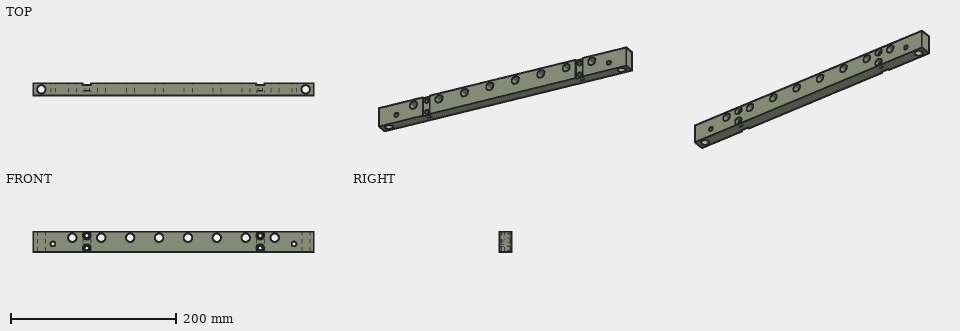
import cadquery as cq

length = 340.0
thickness = 15.0
height = 25.0
top = height / 2
bottom = -height / 2
front = -thickness / 2
back = thickness / 2

row_count = 8
row_pitch = 35.0
row_diameter = 10.0
row_z = bottom + 17.5

pin_diameter = 5.5
pin_x = 146.0
pin_z = bottom + 10.0

screw_x = 105.0
screw_pitch_z = 15.0
screw_diameter = 5.5
counterbore_diameter = 9.5
counterbore_depth = 6.0

groove_width = 10.0
groove_depth = 2.0

end_hole_diameter = 10.0
end_hole_x = 160.0


def cross_hole(x, z, diameter, depth):
    """Cylinder along Y, entering at the front face."""
    axis_start = cq.Vector(x, front, z)
    return cq.Workplane(cq.Solid.makeCylinder(diameter / 2, depth, axis_start, cq.Vector(0, 1, 0)))


def screw_hole(x, z):
    """Through hole with a counterbore at the front face."""
    through = cross_hole(x, z, screw_diameter, thickness)
    return through.union(cross_hole(x, z, counterbore_diameter, counterbore_depth))


def back_groove(x):
    """Full-height rectangular groove in the back face."""
    groove = cq.Workplane("XY").box(groove_width, groove_depth, height)
    return groove.translate((x, back - groove_depth / 2, 0))


def end_hole(x):
    """Vertical hole through the full height."""
    return cq.Workplane("XY").center(x, 0).circle(end_hole_diameter / 2).extrude(top, both=True)


result = cq.Workplane("XY").box(length, thickness, height)

for index in range(row_count):
    row_x = (index - (row_count - 1) / 2) * row_pitch
    result = result.cut(cross_hole(row_x, row_z, row_diameter, thickness))

for side in (-1, 1):
    result = result.cut(end_hole(side * end_hole_x))
    result = result.cut(cross_hole(side * pin_x, pin_z, pin_diameter, thickness))
    result = result.cut(back_groove(side * screw_x))
    for level in (-1, 1):
        result = result.cut(screw_hole(side * screw_x, level * screw_pitch_z / 2))